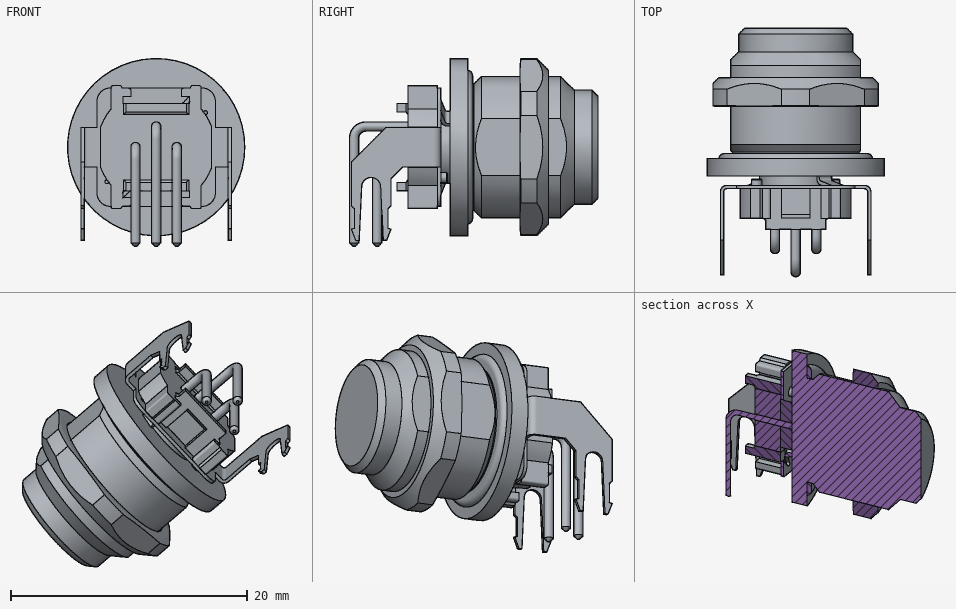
import cadquery as cq
import math


flange_radius = 7.505
flange_length = 1.5
neck_groove_radius = 5.37
thread_rear = 2.02
thread_radius = 6.0
thread_rear_chamfer = thread_radius - neck_groove_radius
thread_front = 9.35
thread_flat = 5.5
barrel_radius = 4.85
barrel_chamfer = 0.53
shell_front = 12.52

seal_radius = 6.53
seal_front = 1.92
seal_face_radius = 6.02
seal_bulge_radius = 6.38
seal_bulge_y = 1.77

nut_rear = 5.9
nut_front = 8.34
nut_flats = 14.0
nut_corner_radius = 7.5
nut_chamfer = 0.99
nut_rear_face_radius = 6.78
nut_rear_bevel = 0.08

sheet = 0.3
plate_back = 0.78
plate_front = plate_back + sheet
plate_side = 10.02
plate_corner = 1.14
ear_half_width = 1.68
bracket_half_span = 6.38
bend_inner = 0.27
bend_outer = bend_inner + sheet

leg_center = 6.67
leg_half_width = 1.68
leg_neck_half_width = 1.43
leg_step_top = -4.95
leg_step_bottom = -5.2
barb_top = -6.86
barb_point = -6.93
leg_tip = -7.9
tip_outer = 1.3
tip_inner = 1.0
fork_radius = 0.8
fork_center_z = -3.37
brace_end = 5.4
shoulder_start = leg_center - leg_half_width - 0.99

tab_half_width = 0.72
tab_root = 5.0
tab_inner = 3.25
tab_knee = 0.35
tab_inner_knee = 0.63
tab_bend_inner = 0.27
tab_bend_outer = tab_bend_inner + sheet
tab_angle = 45
relief_width = 0.34
relief_round_center = tab_half_width + relief_width / 2

block_length = 2.5
block_rear = plate_front + block_length
block_radius = 5.0
block_half_width = 4.7
tower_half_width = 3.8
tower_height = 5.2
tower_round = 0.15
ledge_height = 4.99
opening_half_width = 2.82
overhang_bottom = 4.27
throat_half_width = 2.13
throat_round = 0.2
opening_slope_width = 0.19
peg_x = 3.3
peg_z = 2.57
peg_radius = 0.45
peg_tip = 0.23
peg_chamfer = 0.08

carrier_radius = 3.07
arm_half_width = 2.75
arm_bottom = 2.75
arm_top = 3.7
arm_end = 4.5
flare = 0.2
flare_length = 0.15
arm_pocket_half_width = 1.2
arm_pocket_floor = 3.12
pocket_floor_end = 3.26
pocket_top_end = 3.55

pin_radius = 0.4
pin_pitch = 1.75
pin_bend = 1.0
pin_bottom = flange_radius - 15.9
pin_tip_chamfer = 0.3
high_pin_drop = 8.13
low_pin_drop = 6.17


def behind(depth):
    """Sketch plane at the given depth; its extrusions run toward -Y."""
    return cq.Workplane("XZ", origin=(0, -depth, 0))


def turned(profile):
    """Revolve (radius, Y) points about the main axis."""
    return cq.Workplane("XY").polyline(profile).close().revolve(360, (0, 0, 0), (0, 1, 0))


def half_turn(body):
    return body.rotate((0, 0, 0), (0, 1, 0), 180)


def mirrored_points(points):
    """Complete an outline that is symmetric about its vertical axis."""
    return points + [(-x, y) for x, y in reversed(points)]


def make_shell():
    flange = turned([(0, 0), (flange_radius, 0), (flange_radius, flange_length), (0, flange_length)])
    cone_front = thread_front + thread_radius - barrel_radius
    barrel = turned([
        (0, flange_length),
        (neck_groove_radius, flange_length),
        (neck_groove_radius, thread_rear),
        (thread_radius, thread_rear + thread_rear_chamfer),
        (thread_radius, thread_front),
        (barrel_radius, cone_front),
        (barrel_radius, shell_front - barrel_chamfer),
        (barrel_radius - barrel_chamfer, shell_front),
        (0, shell_front),
    ])
    flats = cq.Workplane("XY").box(2 * thread_flat, 3 * shell_front, 3 * thread_radius)
    return flange.union(barrel.intersect(flats))


def make_seal():
    """Ring with a flat front face and a rounded outer side."""
    return (
        cq.Workplane("XY")
        .moveTo(neck_groove_radius, flange_length)
        .lineTo(seal_radius, flange_length)
        .threePointArc((seal_bulge_radius, seal_bulge_y), (seal_face_radius, seal_front))
        .lineTo(neck_groove_radius, seal_front)
        .close()
        .revolve(360, (0, 0, 0), (0, 1, 0))
    )


def make_nut():
    nut_length = nut_front - nut_rear
    corner_to_corner = nut_flats / math.cos(math.pi / 6)
    hexagon = behind(-nut_front).polygon(6, corner_to_corner).extrude(nut_length)
    hexagon = hexagon.rotate((0, 0, 0), (0, 1, 0), 30)
    envelope = turned([
        (0, nut_rear),
        (nut_rear_face_radius, nut_rear),
        (nut_corner_radius, nut_rear + nut_rear_bevel),
        (nut_corner_radius, nut_front - nut_chamfer),
        (nut_corner_radius - nut_chamfer, nut_front),
        (0, nut_front),
    ])
    bore = behind(-nut_front).circle(thread_radius).extrude(nut_length)
    return hexagon.intersect(envelope).cut(bore)


def make_bracket_arm():
    """Ear, bend and forked leg on the -X side."""
    outer = -bracket_half_span
    bend_x = outer + bend_outer
    bend_y = -plate_back - bend_outer
    slant = math.sqrt(0.5)
    ear = (
        cq.Workplane("XY", origin=(0, 0, -ear_half_width))
        .moveTo(-plate_side / 2, -plate_back)
        .lineTo(bend_x, -plate_back)
        .threePointArc((bend_x - bend_outer * slant, bend_y + bend_outer * slant), (outer, bend_y))
        .lineTo(outer + sheet, bend_y)
        .threePointArc((bend_x - bend_inner * slant, bend_y + bend_inner * slant), (bend_x, -plate_front))
        .lineTo(-plate_side / 2, -plate_front)
        .close()
        .extrude(2 * ear_half_width)
    )
    rear_edge = leg_center + leg_half_width
    front_edge = leg_center - leg_half_width
    rear_neck = leg_center + leg_neck_half_width
    front_neck = leg_center - leg_neck_half_width
    leg = (
        cq.Workplane("YZ", origin=(outer, 0, 0))
        .moveTo(bend_y, ear_half_width)
        .lineTo(-brace_end, ear_half_width)
        .lineTo(-rear_edge, ear_half_width - (rear_edge - brace_end))
        .lineTo(-rear_edge, leg_step_top)
        .lineTo(-rear_neck, leg_step_bottom)
        .lineTo(-rear_neck, barb_top)
        .lineTo(-rear_edge, barb_point)
        .lineTo(-leg_center - tip_outer, leg_tip)
        .lineTo(-leg_center - tip_inner, leg_tip)
        .lineTo(-leg_center - fork_radius, fork_center_z)
        .threePointArc((-leg_center, fork_center_z + fork_radius), (-leg_center + fork_radius, fork_center_z))
        .lineTo(-leg_center + tip_inner, leg_tip)
        .lineTo(-leg_center + tip_outer, leg_tip)
        .lineTo(-front_edge, barb_point)
        .lineTo(-front_neck, barb_top)
        .lineTo(-front_neck, leg_step_bottom)
        .lineTo(-front_edge, leg_step_top)
        .lineTo(-front_edge, -ear_half_width - (front_edge - shoulder_start))
        .lineTo(-shoulder_start, -ear_half_width)
        .lineTo(bend_y, -ear_half_width)
        .close()
        .extrude(sheet)
    )
    return ear.union(leg)


def make_spring_tab():
    """Tab that slopes inward from its root and bends up to touch the flange."""
    tab_outer = tab_inner + sheet
    tab = (
        cq.Workplane("XY", origin=(0, 0, -tab_half_width))
        .polyline([
            (tab_root + sheet, -plate_back),
            (tab_root, -plate_back),
            (tab_outer, -tab_knee),
            (tab_outer, 0),
            (tab_inner, 0),
            (tab_inner, -tab_inner_knee),
            (tab_root - sheet / 2, -plate_front),
            (tab_root + sheet, -plate_front),
        ])
        .close()
        .extrude(2 * tab_half_width)
    )
    hollow_knee = cq.selectors.NearestToPointSelector((tab_outer, -tab_knee, 0))
    round_knee = cq.selectors.NearestToPointSelector((tab_inner, -tab_inner_knee, 0))
    tab = tab.edges("|Z").edges(hollow_knee).fillet(tab_bend_inner)
    return tab.edges("|Z").edges(round_knee).fillet(tab_bend_outer)


def make_tab_slot():
    """Gap under a tab, with a round-ended relief cut along each of its sides."""
    slot_length = tab_root - sheet / 2
    slot = behind(plate_back).rect(slot_length, 2 * tab_half_width).extrude(sheet)
    slot = slot.translate((slot_length / 2, 0, 0))
    reliefs = (
        behind(plate_back)
        .pushPoints([(tab_root / 2, relief_round_center), (tab_root / 2, -relief_round_center)])
        .slot2D(tab_root + relief_width, relief_width)
        .extrude(sheet)
    )
    return slot.union(reliefs)


def make_bracket():
    plate = behind(plate_back).rect(plate_side, plate_side).extrude(sheet).edges("|Y").fillet(plate_corner)
    plate = plate.cut(behind(plate_back).circle(carrier_radius).extrude(sheet))
    plate = plate.cut(behind(plate_back).pushPoints(peg_places).circle(peg_radius).extrude(sheet))
    for turn in (-tab_angle, 180 - tab_angle):
        axis = ((0, 0, 0), (0, 1, 0))
        plate = plate.cut(make_tab_slot().rotate(*axis, turn))
        plate = plate.union(make_spring_tab().rotate(*axis, turn))
    arm = make_bracket_arm()
    return plate.union(arm).union(arm.mirror("YZ"))


def make_block_opening():
    """Stepped opening in the upper end of the block, above the carrier arm."""
    corner = throat_round * math.sqrt(0.5)
    round_x = throat_half_width + throat_round
    round_z = ledge_height - throat_round
    slope_end = opening_half_width + opening_slope_width
    return (
        behind(plate_front)
        .moveTo(-opening_half_width, arm_top)
        .lineTo(opening_half_width, arm_top)
        .lineTo(opening_half_width, overhang_bottom)
        .lineTo(throat_half_width, overhang_bottom)
        .lineTo(throat_half_width, round_z)
        .threePointArc((round_x - corner, round_z + corner), (round_x, ledge_height))
        .lineTo(opening_half_width, ledge_height)
        .lineTo(slope_end, tower_height)
        .lineTo(-slope_end, tower_height)
        .lineTo(-opening_half_width, ledge_height)
        .lineTo(-round_x, ledge_height)
        .threePointArc((-round_x + corner, round_z + corner), (-throat_half_width, round_z))
        .lineTo(-throat_half_width, overhang_bottom)
        .lineTo(-opening_half_width, overhang_bottom)
        .close()
        .extrude(block_length)
    )


def make_block():
    block = behind(plate_front).circle(block_radius).extrude(block_length)
    sides = behind(plate_front).rect(2 * block_half_width, 2 * block_radius).extrude(block_length)
    towers = behind(plate_front).rect(2 * tower_half_width, 2 * tower_height).extrude(block_length)
    towers = towers.edges("|Y").fillet(tower_round)
    block = block.intersect(sides).union(towers)

    arm_height = arm_top - arm_bottom
    window = behind(plate_front).center(0, arm_bottom + arm_height / 2)
    window = window.rect(2 * arm_half_width, arm_height).extrude(block_length)
    opening = window.union(make_block_opening())
    block = block.cut(opening).cut(half_turn(opening))

    pegs = behind(peg_tip).pushPoints(peg_places).circle(peg_radius).extrude(plate_front - peg_tip)
    pegs = pegs.faces(">Y").edges().chamfer(peg_chamfer)
    block = block.union(pegs)
    return block.cut(behind(plate_front).pushPoints(pin_places).circle(pin_radius).extrude(block_length))


def make_carrier_arm():
    """Flat arm through the block with a flared root and a pocket in its outer face."""
    flare_end = block_rear + flare_length
    side = (
        cq.Workplane("YZ", origin=(-arm_half_width, 0, 0))
        .polyline([
            (-plate_front, arm_top),
            (-arm_end, arm_top),
            (-arm_end, arm_bottom + flare),
            (-flare_end, arm_bottom + flare),
            (-block_rear, arm_bottom),
            (-plate_front, arm_bottom),
        ])
        .close()
        .extrude(2 * arm_half_width)
    )
    plan = (
        cq.Workplane("XY")
        .polyline(mirrored_points([
            (arm_half_width, -plate_front),
            (arm_half_width, -block_rear),
            (arm_half_width - flare, -flare_end),
            (arm_half_width - flare, -arm_end),
        ]))
        .close()
        .extrude(2 * arm_top)
    )
    pocket = (
        cq.Workplane("YZ", origin=(-arm_pocket_half_width, 0, 0))
        .polyline([
            (-plate_front, arm_pocket_floor),
            (-pocket_floor_end, arm_pocket_floor),
            (-pocket_top_end, arm_top),
            (-plate_front, arm_top),
        ])
        .close()
        .extrude(2 * arm_pocket_half_width)
    )
    return side.intersect(plan).cut(pocket)


def make_carrier():
    arm = make_carrier_arm()
    carrier = behind(0).circle(carrier_radius).extrude(plate_front).union(arm).union(half_turn(arm))
    return carrier.cut(behind(0).pushPoints(pin_places).circle(pin_radius).extrude(plate_front))


def make_pin(x, z, drop):
    """Round pin that runs back from the flange and bends down at the given depth."""
    corner = pin_bend * (1 - math.sqrt(0.5))
    path = (
        cq.Workplane("YZ", origin=(x, 0, 0))
        .moveTo(0, z)
        .lineTo(-drop + pin_bend, z)
        .threePointArc((-drop + corner, z - corner), (-drop, z - pin_bend))
        .lineTo(-drop, pin_bottom)
    )
    pin = behind(0).center(x, z).circle(pin_radius).sweep(path)
    return pin.faces("<Z").edges().chamfer(pin_tip_chamfer)


peg_places = [(-peg_x, peg_z), (peg_x, -peg_z)]
pin_layout = [
    (-pin_pitch, 0, low_pin_drop),
    (0, pin_pitch, high_pin_drop),
    (pin_pitch, 0, low_pin_drop),
]
pin_places = [(x, z) for x, z, drop in pin_layout]

shell = make_shell()
seal = make_seal()
nut = make_nut()
bracket = make_bracket()
block = make_block()
carrier = make_carrier()
pins = [make_pin(x, z, drop) for x, z, drop in pin_layout]

result = cq.Compound.makeCompound([
    shell.val(),
    seal.val(),
    nut.val(),
    bracket.val(),
    block.val(),
    carrier.val(),
    *[pin.val() for pin in pins],
])